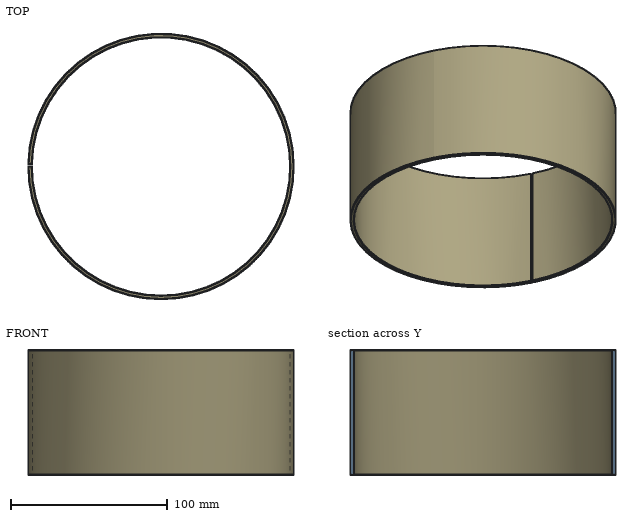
import cadquery as cq

outer_diameter = 170.0
wall = 2.5
height = 80.0
split_gap = 1.43
rim_chamfer = 0.45

outer_radius = outer_diameter / 2
inner_radius = outer_radius - wall

ring = (
    cq.Workplane("XY")
    .circle(outer_radius)
    .circle(inner_radius)
    .extrude(height)
    .edges("%CIRCLE")
    .chamfer(rim_chamfer)
)

slit_depth = 2 * wall
slit = (
    cq.Workplane("XY")
    .center(-outer_radius + wall / 2, split_gap / 2)
    .rect(slit_depth, split_gap)
    .extrude(height)
)

result = ring.cut(slit)